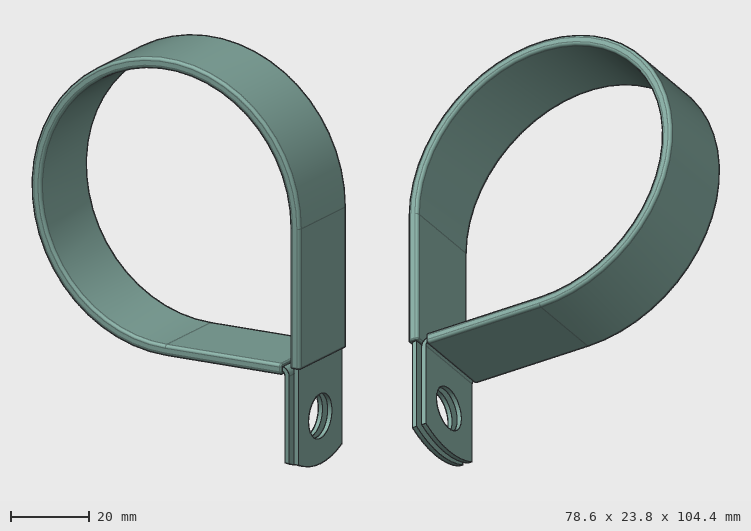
import cadquery as cq
import math

total_height = 104.4
loop_outer_diameter = 78.6
cushion_width = 23.8

strap_thickness = 1.3
cushion_cover = 0.8
cushion_thickness = strap_thickness + 2 * cushion_cover
strap_width = cushion_width - 2 * cushion_cover

outer_radius = loop_outer_diameter / 2
cushion_end_x = 33.8
cushion_end_z = -37.2
cushion_end_rounding = 0.4

bend_inner_radius = 1.0
tab_inner_x = 34.5
tab_bottom_z = outer_radius - total_height
tab_arc_rise = 2.5
hole_diameter = 11.8
hole_to_tab_bottom = 12.6


def band_profile(radius, thickness, side_end_z, bottom_end_x):
    """Three-quarter loop with straight tangent legs, drawn on the XZ plane."""
    inner = radius - thickness
    diagonal = math.sqrt(0.5)
    return (
        cq.Workplane("XZ")
        .moveTo(radius, side_end_z)
        .lineTo(radius, 0)
        .threePointArc((-radius * diagonal, radius * diagonal), (0, -radius))
        .lineTo(bottom_end_x, -radius)
        .lineTo(bottom_end_x, -inner)
        .lineTo(0, -inner)
        .threePointArc((-inner * diagonal, inner * diagonal), (inner, 0))
        .lineTo(inner, side_end_z)
        .close()
    )


def make_cushion():
    """Loop covering with rounded long edges and lightly rounded ends."""
    band = band_profile(outer_radius, cushion_thickness, cushion_end_z, cushion_end_x)
    cushion = band.extrude(cushion_width / 2, both=True)
    end_middle = outer_radius - cushion_thickness / 2
    side_leg_end = cq.selectors.NearestToPointSelector((end_middle, 0, cushion_end_z))
    bottom_leg_end = cq.selectors.NearestToPointSelector((cushion_end_x, 0, -end_middle))
    ends = side_leg_end + bottom_leg_end

    side_edges = cushion.faces("<Y or >Y").edges()
    end_edges = cushion.faces(ends).edges()
    rounded = cushion.newObject([edge for edge in side_edges.vals() if edge not in end_edges.vals()])
    rounded = rounded.fillet(cushion_cover)
    return rounded.faces(ends).edges().fillet(cushion_end_rounding)


def make_strap():
    """Metal strip inside the cushion, with one straight tab and one bent tab."""
    bend_start_x = tab_inner_x - bend_inner_radius
    strap_radius = outer_radius - cushion_cover
    band = band_profile(strap_radius, strap_thickness, tab_bottom_z, bend_start_x)
    strap = band.extrude(strap_width / 2, both=True)

    bend_outer_radius = bend_inner_radius + strap_thickness
    bend_center_z = -strap_radius - bend_inner_radius
    bent_tab = (
        cq.Workplane("XZ")
        .moveTo(bend_start_x, -strap_radius)
        .radiusArc((tab_inner_x, bend_center_z), bend_inner_radius)
        .lineTo(tab_inner_x, tab_bottom_z)
        .lineTo(tab_inner_x + strap_thickness, tab_bottom_z)
        .lineTo(tab_inner_x + strap_thickness, bend_center_z)
        .radiusArc((bend_start_x, bend_center_z + bend_outer_radius), -bend_outer_radius)
        .close()
        .extrude(strap_width / 2, both=True)
    )
    return strap.union(bent_tab)


def make_tab_outline():
    """Strap-wide envelope whose lower end is a shallow arc."""
    half_width = strap_width / 2
    return (
        cq.Workplane("YZ")
        .moveTo(-half_width, outer_radius)
        .lineTo(-half_width, tab_bottom_z + tab_arc_rise)
        .threePointArc((0, tab_bottom_z), (half_width, tab_bottom_z + tab_arc_rise))
        .lineTo(half_width, outer_radius)
        .close()
        .extrude(outer_radius, both=True)
    )


def make_bolt_hole():
    """Bolt passage along X through both tabs."""
    return (
        cq.Workplane("YZ")
        .center(0, tab_bottom_z + hole_to_tab_bottom)
        .circle(hole_diameter / 2)
        .extrude(outer_radius)
    )


strap = make_strap().intersect(make_tab_outline()).cut(make_bolt_hole())
result = make_cushion().union(strap)